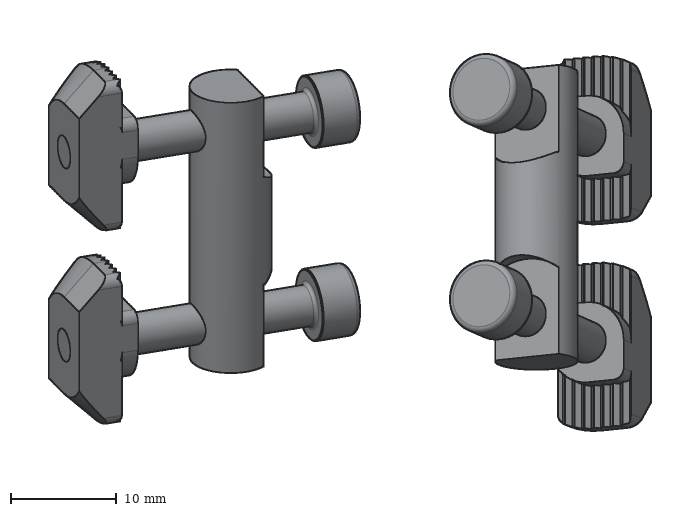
import cadquery as cq
import math

bar_diameter = 7.8
bar_length = 28.0
bar_flat_y = 2.0
spotface_radius = 5.5

screw_spacing = 20.0
screw_positions = (-screw_spacing / 2, screw_spacing / 2)
head_top_y = 12.0
head_height = 4.0
head_diameter = 7.0
head_top_fillet = 0.5
head_bottom_chamfer = 0.1
neck_fillet = 0.35
shank_diameter = 4.0
tip_diameter = 3.2

overall_depth = 29.0
overall_length = 36.0
nut_front_y = head_top_y - overall_depth
nut_boss_y = -11.0
nut_plate_y = -12.5
nut_half_length = (overall_length - screw_spacing) / 2
nut_half_width = 3.85
nut_bevel = 3.0
nut_corner_fillet = 1.0
boss_length = 7.78
boss_large_fillet = 4.0

groove_pitch = 1.0
groove_depth = 0.5
groove_width = 0.95
groove_count = 8

tolerance = 0.0005


def at_y(y):
    """Workplane normal to Y at the given height, extruding toward -Y."""
    return cq.Workplane("XZ", origin=(0, y, 0))


def make_bar():
    bar_radius = bar_diameter / 2
    bar = cq.Workplane("XY").circle(bar_radius).extrude(bar_length / 2, both=True)
    cut_depth = bar_radius - bar_flat_y
    for z in screw_positions:
        spotface = at_y(bar_radius).center(0, z).circle(spotface_radius).extrude(cut_depth)
        screw_hole = at_y(bar_radius).center(0, z).circle(shank_diameter / 2).extrude(bar_diameter)
        bar = bar.cut(spotface).cut(screw_hole)
    return bar


def make_screw():
    head_bottom_y = head_top_y - head_height
    head = at_y(head_top_y).circle(head_diameter / 2).extrude(head_height)
    head = head.faces(">Y").edges().fillet(head_top_fillet)
    head = head.faces("<Y").edges().chamfer(head_bottom_chamfer)
    shank = at_y(head_bottom_y).circle(shank_diameter / 2).extrude(head_bottom_y - nut_boss_y)
    tip = at_y(nut_boss_y).circle(tip_diameter / 2).extrude(nut_boss_y - nut_front_y)
    screw = head.union(shank)
    neck_edge = (
        screw.edges("%CIRCLE")
        .filter(lambda edge: abs(edge.Center().y - head_bottom_y) < tolerance)
        .filter(lambda edge: abs(edge.radius() - shank_diameter / 2) < tolerance)
    )
    screw = neck_edge.fillet(neck_fillet)
    return screw.union(tip)


def plate_blank():
    """Plate with its -X+Z and +X-Z quadrants rounded about the screw axis."""
    arc_end_z = math.sqrt(nut_half_length**2 - nut_half_width**2)
    arc_mid_angle = (math.pi / 2 + math.atan2(arc_end_z, -nut_half_width)) / 2
    mid_x = nut_half_length * math.cos(arc_mid_angle)
    mid_z = nut_half_length * math.sin(arc_mid_angle)
    blank = (
        at_y(nut_plate_y)
        .moveTo(0, nut_half_length)
        .threePointArc((mid_x, mid_z), (-nut_half_width, arc_end_z))
        .lineTo(-nut_half_width, -nut_half_length)
        .lineTo(0, -nut_half_length)
        .threePointArc((-mid_x, -mid_z), (nut_half_width, -arc_end_z))
        .lineTo(nut_half_width, nut_half_length)
        .close()
        .extrude(nut_plate_y - nut_front_y)
    )
    return blank.edges("|Y and (<X or >X)").fillet(nut_corner_fillet)


def make_boss():
    """Boss as wide as the plate, with large fillets at its -X+Z and +X-Z corners."""
    boss_height = nut_boss_y - nut_plate_y + groove_depth
    boss = at_y(nut_boss_y).rect(2 * nut_half_width, boss_length).extrude(boss_height)
    for side in (-1, 1):
        corner_x = side * nut_half_width
        corner_z = side * boss_length / 2
        small_corner = cq.selectors.NearestToPointSelector((corner_x, nut_plate_y, corner_z))
        large_corner = cq.selectors.NearestToPointSelector((corner_x, nut_plate_y, -corner_z))
        boss = boss.edges("|Y").edges(small_corner).fillet(nut_corner_fillet)
        boss = boss.edges("|Y").edges(large_corner).fillet(boss_large_fillet)
    return boss


def bevel_envelope():
    """Space inside the end bevels: conical in the rounded quadrants, flat in the square ones."""
    def half_profile(side):
        return cq.Workplane("YZ").polyline([
            (nut_plate_y, 0),
            (nut_plate_y, side * nut_half_length),
            (nut_front_y + nut_bevel, side * nut_half_length),
            (nut_front_y, side * (nut_half_length - nut_bevel)),
            (nut_front_y, 0),
        ]).close()

    cone = half_profile(1).revolve(360, (0, 0), (1, 0))
    upper_wedge = half_profile(1).extrude(nut_half_width)
    lower_wedge = half_profile(-1).extrude(-nut_half_width)
    return cone.union(upper_wedge).union(lower_wedge)


def make_nut():
    plate = plate_blank().intersect(bevel_envelope())
    for index in range(groove_count):
        groove_x = (index - (groove_count - 1) / 2) * groove_pitch
        groove = (
            cq.Workplane("XY")
            .polyline([
                (groove_x - groove_width / 2, nut_plate_y),
                (groove_x, nut_plate_y - groove_depth),
                (groove_x + groove_width / 2, nut_plate_y),
            ])
            .close()
            .extrude(nut_half_length, both=True)
        )
        plate = plate.cut(groove)
    tip_hole = at_y(nut_boss_y).circle(tip_diameter / 2).extrude(nut_boss_y - nut_front_y)
    return plate.union(make_boss()).cut(tip_hole)


bar = make_bar()
screw = make_screw()
nut = make_nut()
bodies = [bar.val()]
for z in screw_positions:
    bodies.append(screw.translate((0, 0, z)).val())
    bodies.append(nut.translate((0, 0, z)).val())

result = cq.Compound.makeCompound(bodies)